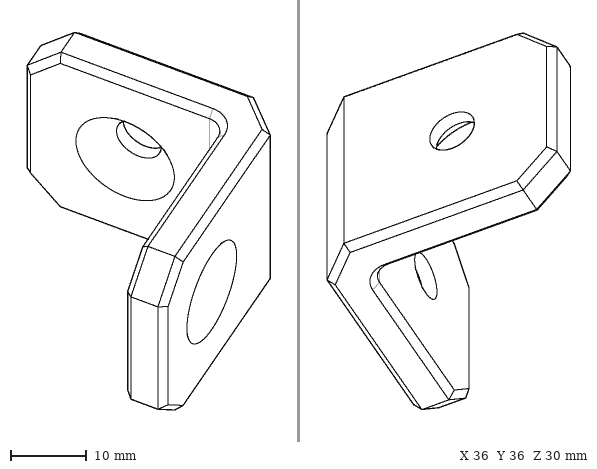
import cadquery as cq

leg_length = 36.0
height = 30.0
thickness = 6.0
corner_cut = 5.0
edge_chamfer = 1.0
inner_radius = 2.5

hole_diameter = 6.6
countersink_diameter = 14.58
countersink_angle = 90
back_hole_from_end = 15.0
side_hole_from_end = 13.82

half = leg_length / 2
inner_face = half - thickness
TOLERANCE = 0.0005


def l_blank():
    """L-shaped extrusion with a bevelled outer corner and rounded inner corner."""
    outline = [
        (-half, half),
        (half - corner_cut, half),
        (half, half - corner_cut),
        (half, -half),
        (inner_face, -half),
        (inner_face, inner_face),
        (-half, inner_face),
    ]
    blank = cq.Workplane("XY").polyline(outline).close().extrude(height / 2, both=True)
    inner_edge = cq.selectors.NearestToPointSelector((inner_face, inner_face, 0))
    return blank.edges(inner_edge).fillet(inner_radius)


def cut_free_corners(body):
    """Bevel the upper and lower corners at the free end of each leg."""
    body = body.faces("<X").edges("|Y").chamfer(corner_cut)
    return body.faces("<Y").edges("|X").chamfer(corner_cut)


def is_rim(edge):
    """True for edges around the broad faces, not across the thickness or up the bend."""
    length = edge.Length()
    across_thickness = abs(length - thickness) < TOLERANCE
    up_the_bend = abs(length - height) < TOLERANCE
    return not (across_thickness or up_the_bend)


def cut_countersunk_hole(body, plane, center):
    """Drill a hole through one leg, countersunk where the plane's normal leaves the leg."""
    drill_plane = cq.Workplane(plane, origin=center)
    return body.copyWorkplane(drill_plane).cskHole(
        hole_diameter, countersink_diameter, countersink_angle, depth=thickness
    )


bracket = cut_free_corners(l_blank())
bracket = bracket.edges().filter(is_rim).chamfer(edge_chamfer)

bracket = cut_countersunk_hole(bracket, "XZ", (back_hole_from_end - half, inner_face, 0))

bracket = cut_countersunk_hole(bracket, "YZ", (half, side_hole_from_end - half, 0))

result = bracket